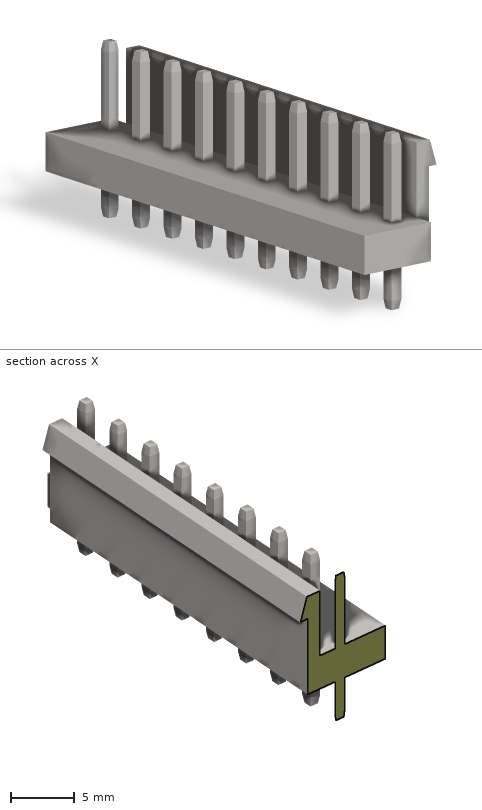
import cadquery as cq


pin_count = 10
pin_pitch = 3.96
pin_width = 1.0
pin_tip_width = 0.75
pin_tip_length = 0.78
pin_length = 14.33
pin_tail = 3.98

base_length = 40.24
base_height = pin_length / 2 - pin_tail
base_front = 4.64
base_back = 2.03

wall_length = (pin_count - 1) * pin_pitch + pin_width
wall_height = 9.3
wall_thickness = 1.25
wall_top_thickness = 1.35
hook_reach = 2.02
hook_height = 2.15


def make_base():
    """Rectangular block that carries the pins."""
    depth = base_front + base_back
    return (
        cq.Workplane("XY")
        .box(base_length, depth, base_height, centered=(True, False, False))
        .translate((0, -base_front, 0))
    )


def make_wall():
    """Wall standing against the back of the base, with a tapered hook on its rear top edge."""
    front = base_back
    rear = front + wall_thickness
    hook_bottom = wall_height - hook_height
    profile = [
        (front, 0),
        (rear, 0),
        (rear, hook_bottom),
        (front + hook_reach, hook_bottom),
        (front + wall_top_thickness, wall_height),
        (front, wall_height),
    ]
    return cq.Workplane("YZ").polyline(profile).close().extrude(wall_length / 2, both=True)


def make_pin(x):
    """Square pin at position x, tapered at both ends."""
    bottom = -pin_tail
    shank_bottom = bottom + pin_tip_length
    shank_top = bottom + pin_length - pin_tip_length
    shank_length = shank_top - shank_bottom
    shank = (
        cq.Workplane("XY", origin=(x, 0, shank_bottom))
        .rect(pin_width, pin_width)
        .extrude(shank_length)
    )
    upper_tip = (
        cq.Workplane("XY", origin=(x, 0, shank_top))
        .rect(pin_width, pin_width)
        .workplane(offset=pin_tip_length)
        .rect(pin_tip_width, pin_tip_width)
        .loft(ruled=True)
    )
    lower_tip = upper_tip.mirror("XY", (x, 0, (shank_bottom + shank_top) / 2))
    return shank.union(upper_tip).union(lower_tip)


result = make_base().union(make_wall())
first_pin_x = -(pin_count - 1) * pin_pitch / 2
for index in range(pin_count):
    result = result.union(make_pin(first_pin_x + index * pin_pitch))